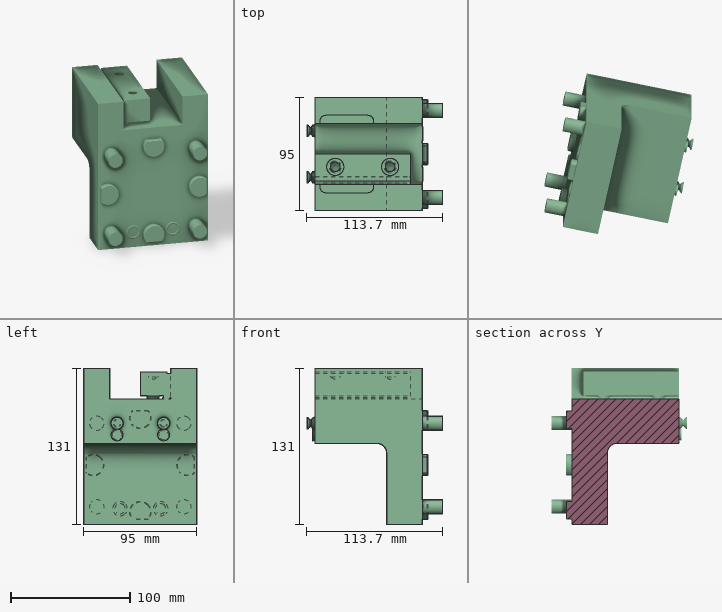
import cadquery as cq
import math

BODY_LENGTH = 90.0
BODY_WIDTH = 95.0
BODY_HEIGHT = 131.0
LEG_THICKNESS = 30.0
OVERHANG_BOTTOM = 68.0
INNER_CORNER_RADIUS = 8.0
MID_Y = BODY_WIDTH / 2

SLOT_WIDTH = 51.0
SLOT_DEPTH = 25.5
SLOT_FLOOR = BODY_HEIGHT - SLOT_DEPTH
SLOT_NEAR_Y = MID_Y - SLOT_WIDTH / 2

BAR_LENGTH = 80.0
BAR_TOP = 128.0
BAR_BOTTOM = 108.0
BAR_WIDTH = 25.5
BAR_FOOT_WIDTH = 6.2
BAR_FOOT_CHAMFER = 0.6
BAR_HEEL_CHAMFER = 1.2
BAR_GROOVE_WIDTH = 3.0
BAR_GROOVE_DEPTH = 1.2

CLAMP_SCREW_XS = (17.0, 63.0)
CLAMP_SCREW_Y = 36.7
CLAMP_SCREW_DIAMETER = 10.0
CLAMP_HEAD_DIAMETER = 14.4
CLAMP_HEAD_SINK = 0.1
SOCKET_DIAMETER = 8.0
SOCKET_DEPTH = 4.0
SOCKET_TIP_ANGLE = 118.0
SOCKET_TIP_DEPTH = SOCKET_DIAMETER / 2 / math.tan(math.radians(SOCKET_TIP_ANGLE / 2))

RECESS_START_X = 4.2
RECESS_LENGTH = 45.0
RECESS_REACH = 7.0
RECESS_CORNER_RADIUS = 5.0
RECESS_DEPTH = 0.1

NOZZLE_SPACING = 39.0
NOZZLE_Z = 85.0
NOZZLE_BALL_RADIUS = 5.5
NOZZLE_BALL_CENTRE_X = 1.5
NOZZLE_SHOULDER_RADIUS = 3.2
NOZZLE_NECK_RADIUS = 2.7
NOZZLE_RIM_RADIUS = 5.0
NOZZLE_REACH = 6.65
NOZZLE_RIM = 0.4
PLUG_Z = 75.3
PLUG_RADIUS = 5.0
PLUG_REACH = 2.0
PLUG_RIM = 0.5
PLUG_SLOPE_DEPTH = 4.0
PLUG_CORE_RADIUS = 2.5

BACK_CENTRE_Z = 50.0
BOLT_SPACING_Y = 73.0
BOLT_SPACING_Z = 70.0
BOLT_DIAMETER = 12.0
BOLT_REACH = 17.0
KEY_DIAMETER = 18.0
KEY_FLAT_OFFSET = 6.1
KEY_FLAT_RADIUS = 45.6
KEY_REACH = 4.6
KEY_CHAMFER = 0.5
SEAL_SPACING = 34.0
SEAL_Z = 13.4
SEAL_OUTER_RADIUS = 6.2
SEAL_TUBE_RADIUS = 1.0
SEAL_REACH = 0.5

EMBED = 2.0


def make_block():
    leg_x = BODY_LENGTH - LEG_THICKNESS
    block = (
        cq.Workplane("XZ")
        .moveTo(0, OVERHANG_BOTTOM)
        .lineTo(leg_x - INNER_CORNER_RADIUS, OVERHANG_BOTTOM)
        .radiusArc((leg_x, OVERHANG_BOTTOM - INNER_CORNER_RADIUS), INNER_CORNER_RADIUS)
        .lineTo(leg_x, 0)
        .lineTo(BODY_LENGTH, 0)
        .lineTo(BODY_LENGTH, BODY_HEIGHT)
        .lineTo(0, BODY_HEIGHT)
        .close()
        .extrude(-BODY_WIDTH)
    )
    slot = cq.Workplane("XY").box(BODY_LENGTH, SLOT_WIDTH, SLOT_DEPTH, centered=False)
    return block.cut(slot.translate((0, SLOT_NEAR_Y, SLOT_FLOOR)))


def make_wall_recesses():
    """Cutter that spans the slot and bites into the top of both walls."""
    return (
        cq.Workplane("XY")
        .box(RECESS_LENGTH, SLOT_WIDTH + 2 * RECESS_REACH, RECESS_DEPTH, centered=(False, True, False))
        .edges("|Z")
        .fillet(RECESS_CORNER_RADIUS)
        .translate((RECESS_START_X, MID_Y, BODY_HEIGHT - RECESS_DEPTH))
    )


def make_clamp_bar():
    wall = SLOT_NEAR_Y
    foot = wall + BAR_FOOT_WIDTH
    front = wall + BAR_WIDTH
    groove_floor = BAR_TOP - BAR_GROOVE_DEPTH
    profile = [
        (wall, groove_floor),
        (wall + BAR_GROOVE_WIDTH, groove_floor),
        (wall + BAR_GROOVE_WIDTH, BAR_TOP),
        (front, BAR_TOP),
        (front, BAR_BOTTOM),
        (foot, BAR_BOTTOM),
        (foot, SLOT_FLOOR + 2 * BAR_FOOT_CHAMFER),
        (foot + BAR_FOOT_CHAMFER, SLOT_FLOOR + BAR_FOOT_CHAMFER),
        (foot + BAR_FOOT_CHAMFER, SLOT_FLOOR),
        (wall + BAR_HEEL_CHAMFER, SLOT_FLOOR),
        (wall, SLOT_FLOOR + BAR_HEEL_CHAMFER),
    ]
    return cq.Workplane("YZ").polyline(profile).close().extrude(BAR_LENGTH)


def at_clamp_screws(shape):
    spots = cq.Workplane("XY").pushPoints([(x, CLAMP_SCREW_Y) for x in CLAMP_SCREW_XS])
    return spots.eachpoint(lambda place: shape.val().moved(place))


def make_clamp_shank():
    length = BAR_BOTTOM - SLOT_FLOOR + 2 * EMBED
    base = cq.Workplane("XY", origin=(0, 0, SLOT_FLOOR - EMBED))
    return base.circle(CLAMP_SCREW_DIAMETER / 2).extrude(length)


def make_clamp_head_cut():
    """Cutter for the sunk head and its cone-bottomed socket."""
    head_z = BAR_TOP - CLAMP_HEAD_SINK
    socket_floor = head_z - SOCKET_DEPTH
    return (
        cq.Workplane("XZ")
        .polyline([
            (0, BAR_TOP),
            (CLAMP_HEAD_DIAMETER / 2, BAR_TOP),
            (CLAMP_HEAD_DIAMETER / 2, head_z),
            (SOCKET_DIAMETER / 2, head_z),
            (SOCKET_DIAMETER / 2, socket_floor),
            (0, socket_floor - SOCKET_TIP_DEPTH),
        ])
        .close()
        .revolve(360, (0, 0, 0), (0, 1, 0))
    )


def make_nozzle():
    """Ball seated in the front face, carrying a flared outlet."""
    ball_span = math.sqrt(NOZZLE_BALL_RADIUS**2 - NOZZLE_SHOULDER_RADIUS**2)
    shoulder_x = NOZZLE_BALL_CENTRE_X - ball_span
    rim_end = NOZZLE_RIM - NOZZLE_REACH
    neck_x = rim_end + NOZZLE_RIM_RADIUS - NOZZLE_NECK_RADIUS
    return (
        cq.Workplane("XY")
        .moveTo(-NOZZLE_REACH, 0)
        .lineTo(-NOZZLE_REACH, NOZZLE_RIM_RADIUS)
        .lineTo(rim_end, NOZZLE_RIM_RADIUS)
        .lineTo(neck_x, NOZZLE_NECK_RADIUS)
        .lineTo(shoulder_x, NOZZLE_NECK_RADIUS)
        .lineTo(shoulder_x, NOZZLE_SHOULDER_RADIUS)
        .radiusArc((NOZZLE_BALL_CENTRE_X, NOZZLE_BALL_RADIUS), NOZZLE_BALL_RADIUS)
        .lineTo(NOZZLE_BALL_CENTRE_X, 0)
        .close()
        .revolve(360, (0, 0, 0), (1, 0, 0))
    )


def make_plug():
    """Countersunk screw standing slightly proud of the front face."""
    rim_end = PLUG_RIM - PLUG_REACH
    slope_end = rim_end + PLUG_SLOPE_DEPTH
    return (
        cq.Workplane("XY")
        .moveTo(-PLUG_REACH, 0)
        .lineTo(-PLUG_REACH, PLUG_RADIUS)
        .lineTo(rim_end, PLUG_RADIUS)
        .lineTo(slope_end, PLUG_CORE_RADIUS)
        .lineTo(slope_end, 0)
        .close()
        .revolve(360, (0, 0, 0), (1, 0, 0))
    )


def make_front_fittings():
    fittings = []
    for side in (-1, 1):
        y = MID_Y + side * NOZZLE_SPACING / 2
        fittings.append(make_nozzle().translate((0, y, NOZZLE_Z)))
        fittings.append(make_plug().translate((0, y, PLUG_Z)))
    return fittings


def make_bolts():
    return (
        cq.Workplane("YZ", origin=(BODY_LENGTH - EMBED, MID_Y, BACK_CENTRE_Z))
        .rarray(BOLT_SPACING_Y, BOLT_SPACING_Z, 2, 2)
        .circle(BOLT_DIAMETER / 2)
        .extrude(BOLT_REACH + EMBED)
    )


def make_keys():
    """Four round keys in a cross, each cut flat on its outward side."""
    radius = KEY_DIAMETER / 2
    half_flat = math.sqrt(radius**2 - KEY_FLAT_OFFSET**2)
    key = (
        cq.Workplane("YZ", origin=(BODY_LENGTH - EMBED, MID_Y, BACK_CENTRE_Z))
        .moveTo(-half_flat, KEY_FLAT_RADIUS)
        .lineTo(half_flat, KEY_FLAT_RADIUS)
        .threePointArc((0, KEY_FLAT_RADIUS - KEY_FLAT_OFFSET - radius), (-half_flat, KEY_FLAT_RADIUS))
        .close()
        .extrude(KEY_REACH + EMBED)
        .faces(">X")
        .chamfer(KEY_CHAMFER)
    )
    axis_start = (0, MID_Y, BACK_CENTRE_Z)
    axis_end = (1, MID_Y, BACK_CENTRE_Z)
    return [key.rotate(axis_start, axis_end, 90 * turn) for turn in range(4)]


def make_seals():
    ring_x = BODY_LENGTH + SEAL_REACH - SEAL_TUBE_RADIUS
    seals = []
    for side in (-1, 1):
        centre = cq.Vector(ring_x, MID_Y + side * SEAL_SPACING / 2, SEAL_Z)
        major_radius = SEAL_OUTER_RADIUS - SEAL_TUBE_RADIUS
        seals.append(cq.Solid.makeTorus(major_radius, SEAL_TUBE_RADIUS, centre, cq.Vector(1, 0, 0)))
    return seals


result = make_block().cut(make_wall_recesses())
result = result.union(make_clamp_bar())
result = result.union(at_clamp_screws(make_clamp_shank()))
result = result.cut(at_clamp_screws(make_clamp_head_cut()))
for fitting in make_front_fittings():
    result = result.union(fitting)
result = result.union(make_bolts())
for key in make_keys():
    result = result.union(key)
for seal in make_seals():
    result = result.union(cq.Workplane(seal))